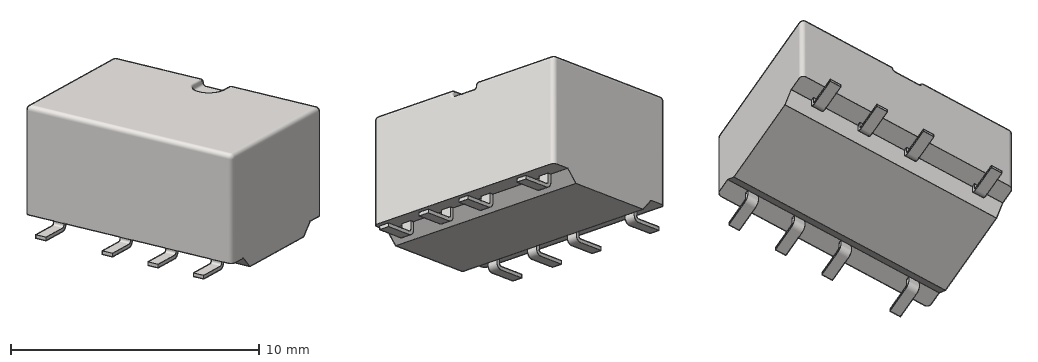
import cadquery as cq

body_length = 10.0
body_width = 6.5
top_z = 5.33
span_over_leads = 7.8

shoulder_z = 0.63
base_bottom_z = 0.11
base_top_width = 4.88
base_bottom_width = 3.92
housing_round = 0.2

notch_radius = 0.65
notch_centre_inset = 0.65
notch_depth = 0.3
notch_round = 0.1
back_y = body_width / 2
notch_centre_y = back_y - notch_centre_inset
notch_floor_z = top_z - notch_depth

lead_positions = (-3.81, -0.6, 1.6, 3.8)
lead_width = 0.5
lead_thickness = 0.16
lead_inner_radius = 0.1
lead_inner_y = base_top_width / 2


def make_upright_box():
    """Housing block with only its upright edges rounded."""
    box = cq.Workplane("XY").workplane(offset=shoulder_z)
    box = box.rect(body_length, body_width).extrude(top_z - shoulder_z)
    return box.edges("|Z").fillet(housing_round)


def cut_notch(box):
    """Cut the index notch and round its top rim and the corner around its floor."""
    cutter = (
        cq.Workplane("XY")
        .workplane(offset=notch_floor_z)
        .moveTo(-notch_radius, back_y)
        .lineTo(-notch_radius, notch_centre_y)
        .threePointArc((0, notch_centre_y - notch_radius), (notch_radius, notch_centre_y))
        .lineTo(notch_radius, back_y)
        .close()
        .extrude(notch_depth)
    )
    wall_zone = cq.selectors.BoxSelector(
        (-2 * notch_radius, notch_centre_y, notch_floor_z - notch_round),
        (2 * notch_radius, back_y, top_z + notch_round),
    )
    return box.cut(cutter).edges("|Y").edges(wall_zone).fillet(notch_round)


def make_housing():
    """Notched housing with a rounded top rim and a rounded notch mouth."""
    rounded_box = make_upright_box().faces(">Z").edges().fillet(housing_round)
    housing = cut_notch(make_upright_box()).intersect(rounded_box)
    mouth_floor_edge = cq.selectors.NearestToPointSelector((0, back_y, notch_floor_z))
    return housing.edges(mouth_floor_edge).fillet(notch_round)


def make_base():
    """Base block running the full length, narrowing towards its underside."""
    half_top = base_top_width / 2
    half_bottom = base_bottom_width / 2
    profile = [
        (-half_top, shoulder_z),
        (-half_bottom, base_bottom_z),
        (half_bottom, base_bottom_z),
        (half_top, shoulder_z),
    ]
    section = cq.Workplane("YZ").polyline(profile).close()
    return section.extrude(body_length / 2, both=True)


def make_lead(x):
    """One L-bent lead on the +Y side: a leg under the housing and a foot outwards."""
    tip_y = span_over_leads / 2
    outer_radius = lead_inner_radius + lead_thickness
    leg_outer_y = lead_inner_y + lead_thickness
    lead = (
        cq.Workplane("YZ")
        .workplane(offset=x)
        .moveTo(lead_inner_y, shoulder_z)
        .lineTo(lead_inner_y, outer_radius)
        .radiusArc((lead_inner_y + outer_radius, 0), -outer_radius)
        .lineTo(tip_y, 0)
        .lineTo(tip_y, lead_thickness)
        .lineTo(leg_outer_y + lead_inner_radius, lead_thickness)
        .radiusArc((leg_outer_y, outer_radius), lead_inner_radius)
        .lineTo(leg_outer_y, shoulder_z)
        .close()
    )
    return lead.extrude(lead_width / 2, both=True)


result = make_housing().union(make_base())
for lead_x in lead_positions:
    back_lead = make_lead(lead_x)
    result = result.union(back_lead).union(back_lead.mirror("XZ"))